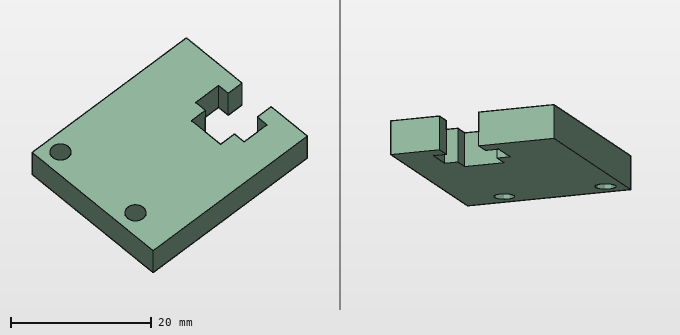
import cadquery as cq

width = 25.0
length = 30.5
thickness = 5.0

notch_center_x = 14.52
notch_width = 6.0
notch_depth = 10.0
arm_span = 10.0
arm_length = 4.5

hole_diameter = 3.0
hole_y = 3.0
left_hole_x = 2.75
hole_spacing = 15.5


def through_block(size_x, size_y, center_y):
    """Full-thickness cutting block centred on the notch axis."""
    return (
        cq.Workplane("XY")
        .center(notch_center_x, center_y)
        .rect(size_x, size_y)
        .extrude(thickness)
    )


plate = cq.Workplane("XY").box(width, length, thickness, centered=False)

notch_center_y = length - notch_depth / 2
notch = through_block(notch_width, notch_depth, notch_center_y).union(
    through_block(arm_span, arm_length, notch_center_y)
)

holes = (
    cq.Workplane("XY")
    .pushPoints([(left_hole_x, hole_y), (left_hole_x + hole_spacing, hole_y)])
    .circle(hole_diameter / 2)
    .extrude(thickness)
)

result = plate.cut(notch).cut(holes)